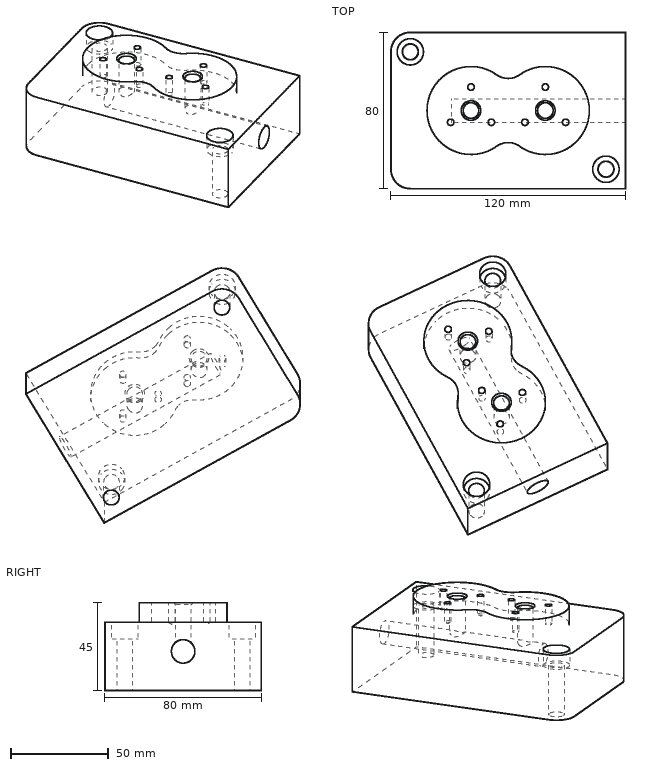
import cadquery as cq
import math

length = 120.0
width = 80.0
base_height = 35.0
corner_radius = 10.0

pad_height = 10.0
lobe_radius = 22.5
lobe_spacing = 38.0
neck_radius = 10.0
pad_foot_fillet = 0.1

mount_inset = 10.0
mount_diameter = 8.0
mount_head_diameter = 13.5
mount_head_depth = 8.5

port_diameter = 8.0
port_chamfer = 1.0
bore_diameter = 12.0
bore_height = 20.0
bore_overrun = 10.0

screw_diameter = 3.33
screw_depth = 10.0
screw_circle_radius = 12.0
screw_count = 3
first_screw_angle = 90.0
drill_point_angle = 118.0

top_height = base_height + pad_height
lobe_offset = lobe_spacing / 2
lobe_centers = [-lobe_offset, lobe_offset]


def make_base():
    block = cq.Workplane("XY").box(length, width, base_height, centered=(True, True, False))
    return block.edges("|Z and <X").fillet(corner_radius)


def make_pad():
    center_distance = lobe_radius + neck_radius
    neck_center_y = math.sqrt(center_distance**2 - lobe_offset**2)
    neck_y = neck_center_y - neck_radius
    tangent_x = lobe_offset * neck_radius / center_distance
    tangent_y = neck_center_y * lobe_radius / center_distance
    end_x = lobe_offset + lobe_radius
    return (
        cq.Workplane("XY", origin=(0, 0, base_height))
        .moveTo(-tangent_x, tangent_y)
        .threePointArc((0, neck_y), (tangent_x, tangent_y))
        .threePointArc((end_x, 0), (tangent_x, -tangent_y))
        .threePointArc((0, -neck_y), (-tangent_x, -tangent_y))
        .threePointArc((-end_x, 0), (-tangent_x, tangent_y))
        .close()
        .extrude(pad_height)
    )


def join_pad(base, pad):
    half_x = lobe_offset + lobe_radius + pad_foot_fillet
    half_y = lobe_radius + pad_foot_fillet
    foot_edges = cq.selectors.BoxSelector(
        (-half_x, -half_y, base_height - pad_foot_fillet),
        (half_x, half_y, base_height + pad_foot_fillet),
    )
    return base.union(pad).edges(foot_edges).fillet(pad_foot_fillet)


def make_mount_hole(x, y):
    shank = cq.Workplane("XY", origin=(x, y, 0)).circle(mount_diameter / 2).extrude(base_height)
    head = (
        cq.Workplane("XY", origin=(x, y, base_height))
        .circle(mount_head_diameter / 2)
        .extrude(-mount_head_depth)
    )
    return shank.union(head)


def make_port(x):
    radius = port_diameter / 2
    return (
        cq.Workplane("XZ", origin=(x, 0, 0))
        .moveTo(0, bore_height)
        .lineTo(radius, bore_height)
        .lineTo(radius, top_height - port_chamfer)
        .lineTo(radius + port_chamfer, top_height)
        .lineTo(0, top_height)
        .close()
        .revolve(360, (0, 0, 0), (0, 1, 0))
    )


def make_screw_hole(x, y):
    radius = screw_diameter / 2
    point_depth = radius / math.tan(math.radians(drill_point_angle / 2))
    return (
        cq.Workplane("XZ", origin=(x, y, 0))
        .moveTo(0, top_height)
        .lineTo(radius, top_height)
        .lineTo(radius, top_height - screw_depth)
        .lineTo(0, top_height - screw_depth - point_depth)
        .close()
        .revolve(360, (0, 0, 0), (0, 1, 0))
    )


def make_supply_bore():
    bore_length = length / 2 + lobe_offset + bore_overrun
    return (
        cq.Workplane("YZ", origin=(length / 2, 0, bore_height))
        .circle(bore_diameter / 2)
        .extrude(-bore_length)
    )


result = join_pad(make_base(), make_pad()).cut(make_supply_bore())

mount_x = length / 2 - mount_inset
mount_y = width / 2 - mount_inset
for side in (-1, 1):
    result = result.cut(make_mount_hole(side * mount_x, -side * mount_y))

for lobe_x in lobe_centers:
    result = result.cut(make_port(lobe_x))
    for index in range(screw_count):
        angle = math.radians(first_screw_angle + index * 360 / screw_count)
        screw_x = lobe_x + screw_circle_radius * math.cos(angle)
        screw_y = screw_circle_radius * math.sin(angle)
        result = result.cut(make_screw_hole(screw_x, screw_y))